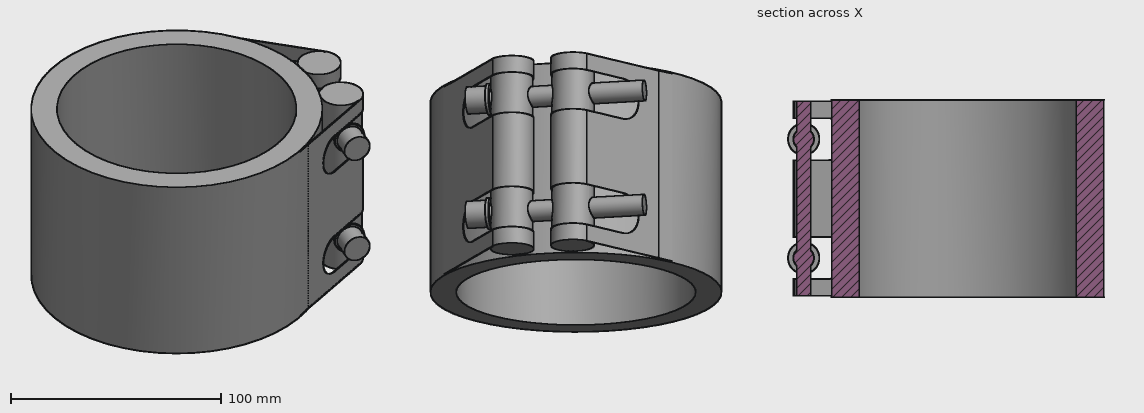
import cadquery as cq
import math

sleeve_diameter = 138.6
bore_diameter = 114.0
sleeve_height = 94.0
overall_length = 157.9

pin_diameter = 20.0
strap_thickness = 0.5
strap_height = 92.7
pin_x = 14.8

bolt_diameter = 10.0
bolt_tip_x = -49.5
washer_diameter = 15.0
washer_thickness = 1.5
head_diameter = 13.0
head_length = 9.8
bolt_z = 28.3

slot_width = 19.9
slot_end_distance = 21.0

sleeve_radius = sleeve_diameter / 2
pin_radius = pin_diameter / 2
loop_radius = pin_radius + strap_thickness
pin_y = overall_length - sleeve_radius - loop_radius

pin_distance = math.hypot(pin_x, pin_y)
tangent_angle = math.atan2(pin_y, pin_x) - math.acos((sleeve_radius - loop_radius) / pin_distance)
strap_length = math.sqrt(pin_distance**2 - (sleeve_radius - loop_radius) ** 2)
normal = (math.cos(tangent_angle), math.sin(tangent_angle))
along = (-normal[1], normal[0])


def strap_point(radius, distance):
    """Point at a radius along the strap normal and a distance along the strap."""
    return (
        radius * normal[0] + distance * along[0],
        radius * normal[1] + distance * along[1],
    )


def upright_cylinder(radius, height):
    return cq.Workplane("XY").circle(radius).extrude(height / 2, both=True)


def make_slot(z):
    """Round-ended slot cut through the strap and around its loop."""
    slot_radius = slot_width / 2
    round_center = slot_end_distance + slot_radius
    slot_length = strap_length + 2 * loop_radius - round_center
    outside_radius = sleeve_radius + loop_radius
    slot_depth = 4 * loop_radius
    x, y = strap_point(outside_radius, round_center)
    plane = cq.Plane(origin=(x, y, z), xDir=(*along, 0), normal=(*normal, 0))
    round_end = cq.Workplane(plane).circle(slot_radius).extrude(-slot_depth)
    straight = (
        cq.Workplane(plane)
        .center(slot_length / 2, 0)
        .rect(slot_length, slot_width)
        .extrude(-slot_depth)
    )
    return straight.union(round_end)


def loop_point(radius, angle):
    """Point around the pin axis at a radius and an angle from +X."""
    return (pin_x + radius * math.cos(angle), pin_y + radius * math.sin(angle))


def make_loop():
    """Open loop over the pin, from the strap flank round to the contact with the sleeve."""
    contact_angle = math.pi + math.atan2(pin_y, pin_x)
    middle_angle = (tangent_angle + contact_angle) / 2
    return (
        cq.Workplane("XY")
        .moveTo(*loop_point(loop_radius, tangent_angle))
        .threePointArc(loop_point(loop_radius, middle_angle), loop_point(loop_radius, contact_angle))
        .lineTo(*loop_point(pin_radius, contact_angle))
        .threePointArc(loop_point(pin_radius, middle_angle), loop_point(pin_radius, tangent_angle))
        .close()
        .extrude(strap_height / 2, both=True)
    )


def make_strap():
    """Right-hand strap with its loop, slotted for both bolts."""
    inner_radius = sleeve_radius - strap_thickness
    flank = (
        cq.Workplane("XY")
        .polyline([
            strap_point(inner_radius, 0),
            strap_point(sleeve_radius, 0),
            strap_point(sleeve_radius, strap_length),
            strap_point(inner_radius, strap_length),
        ])
        .close()
        .extrude(strap_height / 2, both=True)
    )
    strap = flank.union(make_loop())
    for z in (-bolt_z, bolt_z):
        strap = strap.cut(make_slot(z))
    return strap


def rod(diameter, start_x, end_x, z):
    """Cylinder along X at the height of the pin axes."""
    plane = cq.Plane(origin=(start_x, pin_y, z), xDir=(0, 1, 0), normal=(1, 0, 0))
    return cq.Workplane(plane).circle(diameter / 2).extrude(end_x - start_x)


def make_bolt(z):
    washer_x = pin_x + pin_radius
    head_x = washer_x + washer_thickness
    shank = rod(bolt_diameter, bolt_tip_x, head_x, z)
    washer = rod(washer_diameter, washer_x, head_x, z)
    head = rod(head_diameter, head_x, head_x + head_length, z)
    return shank.union(washer).union(head)


sleeve = upright_cylinder(sleeve_radius, sleeve_height)
result = sleeve.cut(upright_cylinder(bore_diameter / 2, sleeve_height))

strap = make_strap()
pin = upright_cylinder(pin_radius, strap_height).translate((pin_x, pin_y, 0))
clamp_side = strap.union(pin)
result = result.union(clamp_side).union(clamp_side.mirror("YZ"))

for z in (-bolt_z, bolt_z):
    result = result.union(make_bolt(z))